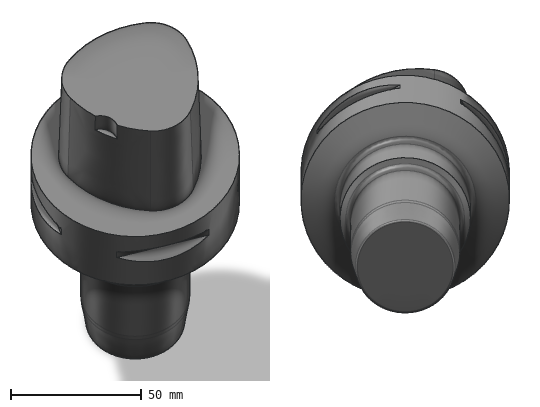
import cadquery as cq
import math

total_height = 151.0
flange_top = 103.0
flange_bottom = 73.1
flange_cone_drop = 3.0
collar_bottom = 52.8
collar_cone_drop = 1.5
nose_cone_top = 15.9

flange_radius = 80.0 / 2
collar_radius = 50.0 / 2
neck_radius = 42.0 / 2
nose_radius = 19.0
shoulder_fillet = 2.7
nose_blend = 18.1
nose_edge_fillet = 0.8

lobe_tip_distance = 29.5
side_distance = 25.4
side_arc_radius = 44.1
shank_taper = math.degrees(math.atan(1 / 40))

notch_radius = 6.8
notch_depth = 8.3
notch_axis_distance = 28.8

groove_height = 90.9
groove_floor_distance = 35.5
groove_floor_width = 3.3
groove_flank_angle = 30.0
groove_directions = (45, 135, 225, 315)

groove_overcut = 1.5

pick_margin = 0.2


def polar(distance, degrees):
    angle = math.radians(degrees)
    return (distance * math.cos(angle), distance * math.sin(angle))


def edge_at(radius, height):
    """Selector for the circular edge of the given radius and height."""
    low = (-radius - pick_margin, -radius - pick_margin, height - pick_margin)
    high = (radius + pick_margin, radius + pick_margin, height + pick_margin)
    return cq.selectors.BoxSelector(low, high, boundingbox=True)


def make_body():
    """Turned flange, collar, neck and conical nose."""
    profile = [
        (0, 0),
        (nose_radius, 0),
        (neck_radius, nose_cone_top),
        (neck_radius, collar_bottom - collar_cone_drop),
        (collar_radius, collar_bottom),
        (collar_radius, flange_bottom - flange_cone_drop),
        (flange_radius, flange_bottom),
        (flange_radius, flange_top),
        (0, flange_top),
    ]
    body = cq.Workplane("XZ").polyline(profile).close().revolve(360, (0, 0, 0), (0, 1, 0))

    fillets = [
        (collar_radius, flange_bottom - flange_cone_drop, shoulder_fillet),
        (neck_radius, collar_bottom - collar_cone_drop, shoulder_fillet),
        (neck_radius, nose_cone_top, nose_blend),
    ]
    for radius, height, fillet in fillets:
        body = body.edges(edge_at(radius, height)).fillet(fillet)
    return body.faces("<Z").edges().fillet(nose_edge_fillet)


def make_shank():
    """Shank outlined by three shallow side arcs and three tangent lobe arcs."""
    center = side_arc_radius - side_distance
    lobe_radius = (
        lobe_tip_distance**2 + center**2 + lobe_tip_distance * center - side_arc_radius**2
    ) / (2 * lobe_tip_distance + center - 2 * side_arc_radius)
    lobe_x, lobe_y = polar(lobe_tip_distance - lobe_radius, -30)
    half_angle = math.atan2(lobe_x, center - lobe_y)
    joint_x = side_arc_radius * math.sin(half_angle)
    joint_y = center - side_arc_radius * math.cos(half_angle)
    joint_distance = math.hypot(joint_x, joint_y)
    joint_angle = math.degrees(math.atan2(joint_x, -joint_y))

    outline = cq.Workplane("XY", origin=(0, 0, flange_top))
    outline = outline.moveTo(*polar(joint_distance, -90 - joint_angle))
    for side in (-90, 30, 150):
        outline = outline.threePointArc(
            polar(side_distance, side), polar(joint_distance, side + joint_angle)
        )
        outline = outline.threePointArc(
            polar(lobe_tip_distance, side + 60), polar(joint_distance, side + 120 - joint_angle)
        )
    return outline.close().extrude(total_height - flange_top, taper=shank_taper)


def make_notch():
    return (
        cq.Workplane("XY", origin=(0, -notch_axis_distance, total_height - notch_depth))
        .circle(notch_radius)
        .extrude(notch_depth)
    )


def make_groove(direction):
    """Straight groove with a flat floor and flaring flanks, cut across the flange rim."""
    mouth_distance = flange_radius + groove_overcut
    flare = (mouth_distance - groove_floor_distance) * math.tan(math.radians(groove_flank_angle))
    floor_half = groove_floor_width / 2
    mouth_half = floor_half + flare
    section = [
        (groove_floor_distance, groove_height - floor_half),
        (mouth_distance, groove_height - mouth_half),
        (mouth_distance, groove_height + mouth_half),
        (groove_floor_distance, groove_height + floor_half),
    ]
    groove = cq.Workplane("XZ").polyline(section).close().extrude(flange_radius, both=True)
    return groove.rotate((0, 0, 0), (0, 0, 1), direction)


result = make_body().union(make_shank()).cut(make_notch())
for groove_direction in groove_directions:
    result = result.cut(make_groove(groove_direction))